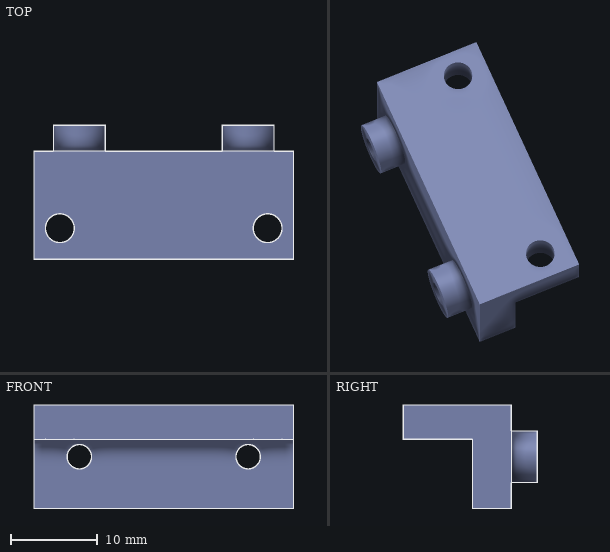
import cadquery as cq

length = 30.0
flange_depth = 12.5
height = 12.0
flange_thickness = 4.0
wall_thickness = 4.5

boss_diameter = 6.0
boss_length = 3.0
boss_hole_diameter = 2.8
boss_spacing = 19.5
boss_height = height / 2

flange_hole_diameter = 3.3
flange_hole_spacing = 24.0
flange_hole_to_front = 3.6


def mirrored_pair(spacing, across):
    """Two points placed symmetrically about X = 0, at the given second coordinate."""
    return [(side * spacing / 2, across) for side in (-1, 1)]


def make_bracket():
    """Wall at the back with a flange reaching forward along its top edge."""
    wall = cq.Workplane("XY").box(
        length, wall_thickness, height, centered=(True, False, False)
    ).translate((0, -wall_thickness, 0))
    flange = cq.Workplane("XY").box(
        length, flange_depth, flange_thickness, centered=(True, False, False)
    ).translate((0, -flange_depth, height - flange_thickness))
    return wall.union(flange)


def back_cylinders(diameter, start, end):
    """Pair of cylinders along Y at the boss positions, from Y = start to Y = end."""
    return (
        cq.Workplane("XZ", origin=(0, start, 0))
        .pushPoints(mirrored_pair(boss_spacing, boss_height))
        .circle(diameter / 2)
        .extrude(start - end)
    )


def flange_holes():
    """Pair of vertical cylinders spanning the flange thickness."""
    return (
        cq.Workplane("XY", origin=(0, 0, height - flange_thickness))
        .pushPoints(mirrored_pair(flange_hole_spacing, flange_hole_to_front - flange_depth))
        .circle(flange_hole_diameter / 2)
        .extrude(flange_thickness)
    )


result = (
    make_bracket()
    .union(back_cylinders(boss_diameter, -wall_thickness / 2, boss_length))
    .cut(back_cylinders(boss_hole_diameter, -wall_thickness, boss_length))
    .cut(flange_holes())
)